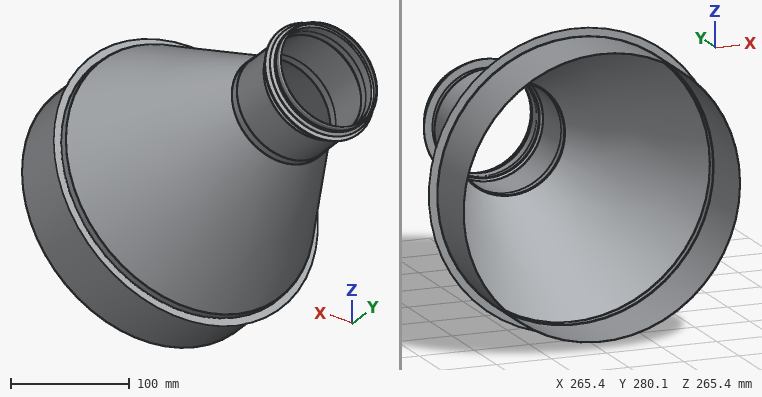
import cadquery as cq


sleeve_sheet = 0.5
sleeve_outer_r = 251.4 / 2
sleeve_inner_r = sleeve_outer_r - sleeve_sheet
flange_r = 265.4 / 2
flange_thickness = 1.5
flange_bottom = 59.6
flange_edge_r = 0.5
flange_top = flange_bottom + flange_thickness
bore_bend_r = 1.5

cone_sheet = 0.6
wide_collar_r = sleeve_inner_r
wide_collar_bottom = 59.0
cone_bottom = 66.7
cone_top = 207.2
narrow_collar_top = 215.0

spigot_sheet = 0.5
spigot_r = 99.05 / 2
narrow_collar_r = spigot_r + cone_sheet
spigot_bottom = cone_top
spigot_top = 280.15
spigot_rim_r = 1.5

groove_r = 94.25 / 2
shoulder_bottom = 255.2
groove_bottom = 258.3
groove_top = 273.9

gasket_band_r = 95.45 / 2
gasket_band_top_r = 94.8 / 2
small_lip_r = 104.45 / 2
large_lip_r = 109.45 / 2
small_lip_thickness = 0.8
large_lip_thickness = 1.5
large_lip_bottom = 264.8
large_lip_top = large_lip_bottom + large_lip_thickness
small_lip_bottom = 269.1
small_lip_top = small_lip_bottom + small_lip_thickness
small_lip_root_top = 272.0
small_lip_root_bevel = 0.6


def turned(profile):
    """Revolve a closed (radius, Y) profile about the Y axis."""
    return profile.close().revolve(360, (0, 0, 0), (0, 1, 0))


def make_sleeve():
    """Straight tube whose inner end bends outward into a flange with a rounded edge."""
    return turned(
        cq.Workplane("XY")
        .moveTo(sleeve_inner_r, 0)
        .lineTo(sleeve_outer_r, 0)
        .lineTo(sleeve_outer_r, flange_bottom)
        .lineTo(flange_r - flange_edge_r, flange_bottom)
        .radiusArc((flange_r, flange_bottom + flange_edge_r), -flange_edge_r)
        .lineTo(flange_r, flange_top - flange_edge_r)
        .radiusArc((flange_r - flange_edge_r, flange_top), -flange_edge_r)
        .lineTo(sleeve_inner_r + bore_bend_r, flange_top)
        .radiusArc((sleeve_inner_r, flange_top - bore_bend_r), -bore_bend_r)
    )


def make_cone():
    """Conical shell with a cylindrical collar at each end."""
    return turned(
        cq.Workplane("XY").polyline([
            (wide_collar_r, wide_collar_bottom),
            (wide_collar_r, cone_bottom),
            (narrow_collar_r, cone_top),
            (narrow_collar_r, narrow_collar_top),
            (narrow_collar_r - cone_sheet, narrow_collar_top),
            (narrow_collar_r - cone_sheet, cone_top),
            (wide_collar_r - cone_sheet, cone_bottom),
            (wide_collar_r - cone_sheet, wide_collar_bottom),
        ])
    )


def make_spigot():
    """Thin tube with a rolled gasket groove and a rim curled inward."""
    t = spigot_sheet
    return turned(
        cq.Workplane("XY")
        .moveTo(spigot_r, spigot_bottom)
        .lineTo(spigot_r, shoulder_bottom)
        .lineTo(groove_r, groove_bottom)
        .lineTo(groove_r, groove_top)
        .lineTo(spigot_r, groove_top)
        .lineTo(spigot_r, spigot_top - spigot_rim_r)
        .radiusArc((spigot_r - spigot_rim_r, spigot_top), -spigot_rim_r)
        .lineTo(spigot_r - spigot_rim_r, spigot_top - t)
        .radiusArc((spigot_r - t, spigot_top - spigot_rim_r), spigot_rim_r - t)
        .lineTo(spigot_r - t, groove_top + t)
        .lineTo(groove_r - t, groove_top + t)
        .lineTo(groove_r - t, groove_bottom)
        .lineTo(spigot_r - t, shoulder_bottom)
        .lineTo(spigot_r - t, spigot_bottom)
    )


def make_gasket():
    """Ring seated in the groove, with two lips and a tapered band beside the wide one."""
    return turned(
        cq.Workplane("XY").polyline([
            (groove_r, groove_bottom),
            (gasket_band_r, groove_bottom),
            (gasket_band_top_r, large_lip_bottom),
            (large_lip_r, large_lip_bottom),
            (large_lip_r, large_lip_top),
            (spigot_r, large_lip_top),
            (spigot_r, small_lip_bottom),
            (small_lip_r, small_lip_bottom),
            (small_lip_r, small_lip_top),
            (spigot_r + small_lip_root_bevel, small_lip_root_top - small_lip_root_bevel),
            (spigot_r, small_lip_root_top),
            (spigot_r, groove_top),
            (groove_r, groove_top),
        ])
    )


sleeve = make_sleeve()
cone = make_cone()
spigot = make_spigot()
gasket = make_gasket()

result = cq.Compound.makeCompound([sleeve.val(), cone.val(), spigot.val(), gasket.val()])